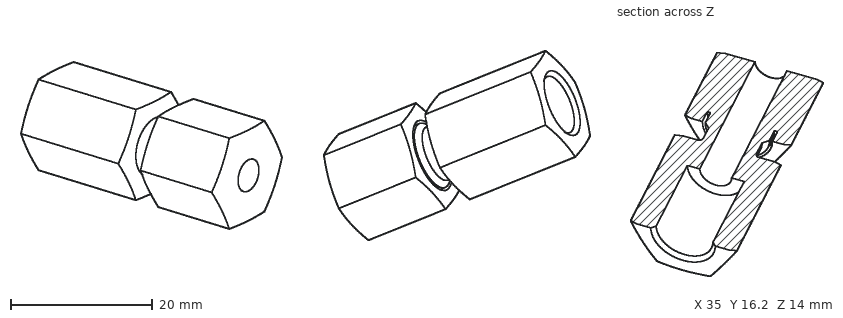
import cadquery as cq
import math

total_length = 35.0
across_flats = 14.0
across_corners = across_flats / math.cos(math.pi / 6)

body_length = 18.15
nut_length = 13.4

chamfer_angle = math.radians(15)
chamfer_depth = (across_corners - across_flats) / 2 * math.tan(chamfer_angle)

neck_radius = 8.16 / 2
flare_height = 0.35
flare_radius = 0.8
stub_radius = 9.78 / 2

recess_diameter = 10.6
recess_depth = 2.0

through_diameter = 4.8
bore_diameter = 8.57
bore_depth = 13.0
bore_mouth_diameter = 9.78
bore_mouth_depth = (bore_mouth_diameter - bore_diameter) / 2

left_end = -total_length / 2
body_end = left_end + body_length
right_end = total_length / 2
nut_start = right_end - nut_length
recess_end = nut_start + recess_depth


def revolve_about_x(profile):
    """Turn a closed XY outline a full turn about the X axis."""
    return profile.close().revolve(360, (0, 0, 0), (1, 0, 0))


def cylinder(start, length, diameter):
    """Solid cylinder along X, from `start` towards +X."""
    return cq.Workplane("YZ", origin=(start, 0, 0)).circle(diameter / 2).extrude(length)


def chamfered_hexagon(start, length):
    """Hexagonal prism along X with corners on the Y axis and conically chamfered ends."""
    prism = cq.Workplane("YZ", origin=(start, 0, 0)).polygon(6, across_corners).extrude(length)
    end = start + length
    flat_radius = across_flats / 2
    corner_radius = across_corners / 2
    overrun = 1.0
    outer_radius = corner_radius + overrun
    outer_inset = chamfer_depth + overrun * math.tan(chamfer_angle)
    envelope = revolve_about_x(
        cq.Workplane("XY")
        .moveTo(start, 0)
        .lineTo(start, flat_radius)
        .lineTo(start + outer_inset, outer_radius)
        .lineTo(end - outer_inset, outer_radius)
        .lineTo(end, flat_radius)
        .lineTo(end, 0)
    )
    return prism.intersect(envelope)


def neck():
    """Round neck from the body face, widening to a stub that ends at the nut recess floor."""
    flare_sweep = math.acos(1 - flare_height / flare_radius)
    flare_length = flare_radius * math.sin(flare_sweep)
    flare_end = body_end + flare_length
    flare_middle = (
        flare_end - flare_radius * math.sin(flare_sweep / 2),
        neck_radius + flare_radius * (1 - math.cos(flare_sweep / 2)),
    )
    stub_start = nut_start - (stub_radius - neck_radius)
    return revolve_about_x(
        cq.Workplane("XY")
        .moveTo(body_end, 0)
        .lineTo(body_end, neck_radius + flare_height)
        .threePointArc(flare_middle, (flare_end, neck_radius))
        .lineTo(stub_start, neck_radius)
        .lineTo(nut_start, stub_radius)
        .lineTo(recess_end, stub_radius)
        .lineTo(recess_end, 0)
    )


def bore_mouth():
    """45 degree countersink at the mouth of the large bore."""
    return revolve_about_x(
        cq.Workplane("XY")
        .moveTo(left_end, 0)
        .lineTo(left_end, bore_mouth_diameter / 2)
        .lineTo(left_end + bore_mouth_depth, bore_diameter / 2)
        .lineTo(left_end + bore_mouth_depth, 0)
    )


def recessed_nut():
    """Nut hexagon with the clearance recess bored into its inner face."""
    nut = chamfered_hexagon(nut_start, nut_length)
    return nut.cut(cylinder(nut_start, recess_depth, recess_diameter))


result = chamfered_hexagon(left_end, body_length)
result = result.union(neck())
result = result.union(recessed_nut())
result = result.cut(cylinder(left_end, total_length, through_diameter))
result = result.cut(cylinder(left_end, bore_depth, bore_diameter))
result = result.cut(bore_mouth())